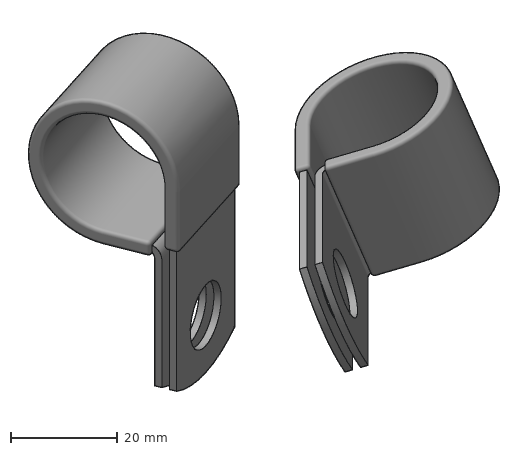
import cadquery as cq
import math


bore_radius = 12.7
strap_thickness = 1.524
strap_width = 25.4
cushion_wall = 0.79375
leg_gap = 1.5875
leg_drop = 47.625
hole_drop = 34.925
hole_diameter = 13.49375
tip_radius = 28.575
bend_inner_radius = 1.27
cushion_reach = 9.87

edge_round = strap_thickness / 2
cushion_outer_radius = bore_radius + 2 * cushion_wall + strap_thickness
cushion_width = strap_width + 2 * cushion_wall
strap_inner_radius = bore_radius + cushion_wall
cushion_drop = strap_inner_radius
strap_outer_radius = strap_inner_radius + strap_thickness
bent_leg_outer_x = strap_inner_radius - leg_gap
bent_leg_inner_x = bent_leg_outer_x - strap_thickness
bend_outer_radius = bend_inner_radius + strap_thickness
bend_center_x = bent_leg_outer_x - bend_outer_radius
bend_center_z = -strap_outer_radius - bend_inner_radius


def on_circle(center_x, center_z, radius, degrees):
    """Point of an XZ circle at an angle measured from +X toward +Z."""
    angle = math.radians(degrees)
    return (center_x + radius * math.cos(angle), center_z + radius * math.sin(angle))


def extrude_across(outline, width):
    """Extrude a closed XZ outline along Y, centred on the XZ plane."""
    return outline.extrude(width / 2, both=True)


def make_cushion():
    """Three-quarter ring with a straight run at each end, rounded on every edge."""
    inner = bore_radius
    outer = cushion_outer_radius
    outline = (
        cq.Workplane("XZ")
        .moveTo(outer, -cushion_drop)
        .lineTo(outer, 0)
        .threePointArc(on_circle(0, 0, outer, 135), (0, -outer))
        .lineTo(cushion_reach, -outer)
        .lineTo(cushion_reach, -inner)
        .lineTo(0, -inner)
        .threePointArc(on_circle(0, 0, inner, 135), (inner, 0))
        .lineTo(inner, -cushion_drop)
        .close()
    )
    body = extrude_across(outline, cushion_width)
    foot_end_middle = (cushion_reach, 0, -(inner + outer) / 2)
    leg_end_middle = ((inner + outer) / 2, 0, -cushion_drop)
    foot_end = body.faces(cq.selectors.NearestToPointSelector(foot_end_middle)).edges("|Y")
    leg_end = body.faces(cq.selectors.NearestToPointSelector(leg_end_middle)).edges("|Y")
    side_edges = body.faces("|Y").edges()
    return side_edges.add(foot_end).add(leg_end).fillet(edge_round)


def make_strap():
    """Constant-thickness strap: straight leg, loop, flat foot and bent leg."""
    inner = strap_inner_radius
    outer = strap_outer_radius
    bend_mid_outer = on_circle(bend_center_x, bend_center_z, bend_outer_radius, 45)
    bend_mid_inner = on_circle(bend_center_x, bend_center_z, bend_inner_radius, 45)
    outline = (
        cq.Workplane("XZ")
        .moveTo(outer, -leg_drop)
        .lineTo(outer, 0)
        .threePointArc(on_circle(0, 0, outer, 135), (0, -outer))
        .lineTo(bend_center_x, -outer)
        .threePointArc(bend_mid_inner, (bent_leg_inner_x, bend_center_z))
        .lineTo(bent_leg_inner_x, -leg_drop)
        .lineTo(bent_leg_outer_x, -leg_drop)
        .lineTo(bent_leg_outer_x, bend_center_z)
        .threePointArc(bend_mid_outer, (bend_center_x, -inner))
        .lineTo(0, -inner)
        .threePointArc(on_circle(0, 0, inner, 135), (inner, 0))
        .lineTo(inner, -leg_drop)
        .close()
    )
    return extrude_across(outline, strap_width)


def make_leg_envelope():
    """Side silhouette of the strap, with its tips closed by one shallow arc."""
    half_width = strap_width / 2
    arc_center_z = tip_radius - leg_drop
    corner_z = arc_center_z - math.sqrt(tip_radius**2 - half_width**2)
    return (
        cq.Workplane("YZ")
        .moveTo(-half_width, cushion_outer_radius)
        .lineTo(-half_width, corner_z)
        .threePointArc((0, -leg_drop), (half_width, corner_z))
        .lineTo(half_width, cushion_outer_radius)
        .close()
        .extrude(cushion_outer_radius, both=True)
    )


def make_bolt_hole():
    """Cylinder along X that passes through both legs."""
    return (
        cq.Workplane("YZ")
        .center(0, -hole_drop)
        .circle(hole_diameter / 2)
        .extrude(cushion_outer_radius, both=True)
    )


strap = make_strap().intersect(make_leg_envelope()).cut(make_bolt_hole())
result = make_cushion().union(strap)